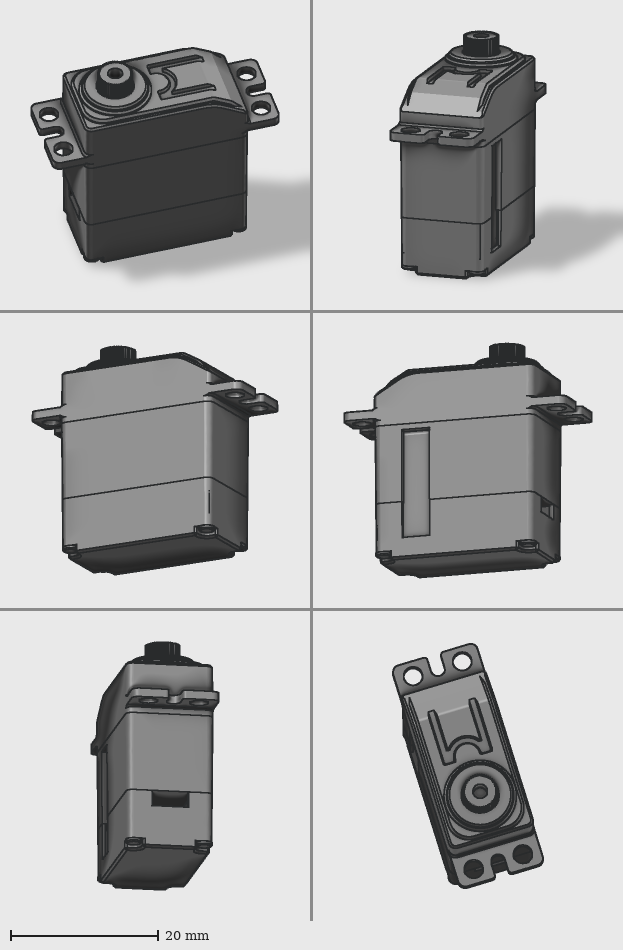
import cadquery as cq
import math


CASE_WIDTH = 12.05
CASE_LENGTH = 23.1
CORNER_RADIUS = 1.0
DRAFT = 0.5
LOWER_SEAM_Z = 7.95
UPPER_SEAM_Z = 18.75

SHOULDER_Z = 26.0
EDGE_BEVEL = 0.3
REAR_RADIUS = 0.55
SHOULDER_BEND_Y = 5.15
SHOULDER_BEND_RADIUS = 5.8
SHOULDER_SLOPE = 30.5

DECK_Z = 26.5
DECK_HALF_WIDTH = 5.35
DECK_FRONT_Y = -11.05
DECK_CORNER_RADIUS = 3.0
DECK_BEVEL = 0.35
DECK_REAR_PROFILE = [(6.85, DECK_Z), (9.35, 25.1), (12.25, 22.1)]
DECK_RIDGE_RADIUS = 0.95

GROOVE_DEPTH = 0.45
GROOVE_WALL_RUN = 0.2
GROOVE_HALF_WIDTH = 3.5
GROOVE_ARM_WIDTH = 1.2
GROOVE_FRONT_Y = -0.15
GROOVE_ARC_Y = 0.2
GROOVE_INNER_RADIUS = 1.7
GROOVE_OUTER_RADIUS = 2.8
GROOVE_CORNER_RADIUS = 0.32

SHAFT_Y = -5.65
BOSS_TOP_Z = 27.5
BOSS_STEPS = [(4.95, 26.7), (4.58, 26.98), (4.45, 26.98), (4.45, 27.2), (4.15, BOSS_TOP_Z)]
SHAFT_HOLE_RADIUS = 2.55

LUG_SPAN = 32.05
LUG_BOTTOM_Z = 19.83
LUG_THICKNESS = 1.2
LUG_TOP_Z = LUG_BOTTOM_Z + LUG_THICKNESS
LUG_HOLE_X = 3.5
LUG_HOLE_Y = 14.0
LUG_HOLE_RADIUS = 1.28
LUG_SLOT_WIDTH = 1.92
LUG_SLOT_DEPTH = 3.05
LUG_SLOT_MOUTH_RADIUS = 0.48

SHAFT_TOP_Z = 29.75
TOOTH_COUNT = 48
TOOTH_TIP_RADIUS = 2.37
TOOTH_ROOT_RADIUS = 2.15
SHAFT_BORE_RADIUS = 1.0
SHAFT_BORE_DEPTH = 2.55

MOTOR_Y = 5.45
MOTOR_RADIUS = 5.67
MOTOR_HALF_FLATS = 5.15
MOTOR_BOTTOM_Z = 2.95
MOTOR_TOP_Z = 17.97
MOTOR_TOP_ROUND = 0.65

SIDE_WINDOW_LENGTH = 3.97
CABLE_WINDOW_WIDTH = 5.03
CABLE_WINDOW_Z = 5.8
FRONT_WALL = 0.55
CHANNEL_HALF_WIDTH = 3.3
WELL_HALF_WIDTH = 5.48

BOTTOM_BEVEL = 0.32
NOTCH_SIZE = 2.1
NOTCH_HEIGHT = 1.2
NOTCH_RADIUS = 1.15
NOTCH_BEVEL = 0.3
SCREW_HEAD_RADIUS = 1.1
SCREW_HEAD_HEIGHT = 0.5
SCREW_HEAD_BEVEL = 0.2
SCREW_OVERHANG = 0.1

DRAFT_INSET = UPPER_SEAM_Z * math.tan(math.radians(DRAFT))
BASE_HALF_WIDTH = CASE_WIDTH / 2 - DRAFT_INSET
BASE_HALF_LENGTH = CASE_LENGTH / 2 - DRAFT_INSET
MARGIN = 0.03


def block(x_range, y_range, z_range):
    """Plain box between the given limits."""
    size = [high - low for low, high in (x_range, y_range, z_range)]
    corner = (x_range[0], y_range[0], z_range[0])
    return cq.Workplane("XY").box(*size, centered=False).translate(corner)


def rounded_outline(width, length, front_radius, rear_radius):
    """Rectangle centred on the origin with its own radius at each end."""
    outline = cq.Sketch().rect(width, length)
    outline = outline.vertices("<Y").fillet(front_radius).reset()
    return outline.vertices(">Y").fillet(rear_radius).reset()


def drafted_prism(outline, base_z, height, taper=DRAFT):
    """Outline raised (or sunk, if height is negative) from base_z with leaning walls."""
    return cq.Workplane("XY", origin=(0, 0, base_z)).placeSketch(outline).extrude(height, taper=taper)


def lower_case():
    """Solid outer shape shared by the middle and bottom cases."""
    outline = rounded_outline(CASE_WIDTH, CASE_LENGTH, CORNER_RADIUS, CORNER_RADIUS)
    return drafted_prism(outline, UPPER_SEAM_Z, -UPPER_SEAM_Z)


def slab(bottom_z, top_z):
    """Everything between two heights."""
    return block((-LUG_SPAN, LUG_SPAN), (-LUG_SPAN, LUG_SPAN), (bottom_z, top_z))


def motor_prism():
    """Round motor can with two flats, before its top edge is rounded."""
    height = MOTOR_TOP_Z - MOTOR_BOTTOM_Z
    can = cq.Workplane("XY", origin=(0, MOTOR_Y, MOTOR_BOTTOM_Z)).circle(MOTOR_RADIUS).extrude(height)
    between_flats = block(
        (-MOTOR_HALF_FLATS, MOTOR_HALF_FLATS), (-LUG_SPAN, LUG_SPAN), (MOTOR_BOTTOM_Z, MOTOR_TOP_Z)
    )
    return can.intersect(between_flats)


def side_window():
    """Opening through the -X wall onto the motor flat."""
    half_length = SIDE_WINDOW_LENGTH / 2
    return block(
        (-CASE_WIDTH, -MOTOR_HALF_FLATS),
        (MOTOR_Y - half_length, MOTOR_Y + half_length),
        (MOTOR_BOTTOM_Z, MOTOR_TOP_Z),
    )


def build_motor():
    return motor_prism().faces(">Z").edges().fillet(MOTOR_TOP_ROUND)


def build_middle_case():
    shell = lower_case().intersect(slab(LOWER_SEAM_Z, UPPER_SEAM_Z))
    return shell.cut(motor_prism()).cut(side_window())


def corner_notch():
    """Screw notch at the -X -Y corner, bevelled where it meets the two walls and the bottom."""
    inner_x = NOTCH_SIZE - BASE_HALF_WIDTH
    inner_y = NOTCH_SIZE - BASE_HALF_LENGTH
    outer_x = inner_x - 2 * NOTCH_SIZE
    outer_y = inner_y - 2 * NOTCH_SIZE
    wall_x = -BASE_HALF_WIDTH
    wall_y = -BASE_HALF_LENGTH
    outline = (
        cq.Workplane("XY", origin=(0, 0, BOTTOM_BEVEL))
        .moveTo(outer_x, outer_y)
        .lineTo(inner_x + NOTCH_BEVEL, outer_y)
        .lineTo(inner_x + NOTCH_BEVEL, wall_y)
        .lineTo(inner_x, wall_y + NOTCH_BEVEL)
        .lineTo(inner_x, inner_y - NOTCH_RADIUS)
        .radiusArc((inner_x - NOTCH_RADIUS, inner_y), -NOTCH_RADIUS)
        .lineTo(wall_x + NOTCH_BEVEL, inner_y)
        .lineTo(wall_x, inner_y + NOTCH_BEVEL)
        .lineTo(outer_x, inner_y + NOTCH_BEVEL)
        .close()
    )
    pocket = outline.extrude(NOTCH_HEIGHT - BOTTOM_BEVEL)
    flare = pocket.faces("<Z").wires().toPending().extrude(-BOTTOM_BEVEL, combine=False, taper=-45)
    return pocket.union(flare)


def build_bottom_case():
    case = lower_case().intersect(slab(0, LOWER_SEAM_Z))
    case = case.faces("<Z").edges().chamfer(BOTTOM_BEVEL)
    notch = corner_notch()
    for mirrored in (notch, notch.mirror("YZ")):
        case = case.cut(mirrored).cut(mirrored.mirror("XZ"))

    motor_well = block(
        (-WELL_HALF_WIDTH, WELL_HALF_WIDTH),
        (MOTOR_Y - MOTOR_RADIUS, MOTOR_Y + MOTOR_RADIUS),
        (MOTOR_BOTTOM_Z, LOWER_SEAM_Z),
    )
    cable_channel = block(
        (-CHANNEL_HALF_WIDTH, CHANNEL_HALF_WIDTH),
        (FRONT_WALL - BASE_HALF_LENGTH, MOTOR_Y),
        (MOTOR_BOTTOM_Z, LOWER_SEAM_Z),
    )
    cable_window = block(
        (-CABLE_WINDOW_WIDTH / 2, CABLE_WINDOW_WIDTH / 2),
        (-CASE_LENGTH, 0),
        (CABLE_WINDOW_Z, LOWER_SEAM_Z),
    )
    return case.cut(motor_well).cut(cable_channel).cut(cable_window).cut(side_window())


def build_screw(x_side, y_side):
    """Screw head hanging in one corner notch."""
    inset = SCREW_HEAD_RADIUS - SCREW_OVERHANG
    centre = (
        x_side * (BASE_HALF_WIDTH - inset),
        y_side * (BASE_HALF_LENGTH - inset),
        NOTCH_HEIGHT - SCREW_HEAD_HEIGHT,
    )
    head = cq.Workplane("XY", origin=centre).circle(SCREW_HEAD_RADIUS).extrude(SCREW_HEAD_HEIGHT)
    return head.faces("<Z").edges().chamfer(SCREW_HEAD_BEVEL)


def drafted_sides():
    """Space between the two long drafted side walls of the top case."""
    outline = cq.Sketch().rect(CASE_WIDTH, 2 * LUG_SPAN)
    return drafted_prism(outline, UPPER_SEAM_Z, SHOULDER_Z - UPPER_SEAM_Z)


def mounting_lugs():
    """Plate carrying both lugs, with its screw holes and open slots."""
    half_span = LUG_SPAN / 2
    plate = drafted_sides().intersect(
        block((-CASE_WIDTH, CASE_WIDTH), (-half_span, half_span), (LUG_BOTTOM_Z, LUG_TOP_Z))
    )
    plate = plate.faces("<Y or >Y").edges("not #Z").fillet(CORNER_RADIUS)
    hole_centres = [(x, y) for x in (-LUG_HOLE_X, LUG_HOLE_X) for y in (-LUG_HOLE_Y, LUG_HOLE_Y)]
    plate = plate.faces(">Z").workplane(origin=(0, 0, LUG_TOP_Z)).pushPoints(hole_centres)
    plate = plate.hole(2 * LUG_HOLE_RADIUS)
    slots = (
        cq.Workplane("XY", origin=(0, 0, LUG_BOTTOM_Z))
        .pushPoints([(0, -LUG_SPAN / 2), (0, LUG_SPAN / 2)])
        .slot2D(2 * LUG_SLOT_DEPTH, LUG_SLOT_WIDTH, angle=90)
        .extrude(LUG_THICKNESS)
    )
    plate = plate.cut(slots)
    half_slot = LUG_SLOT_WIDTH / 2 + MARGIN
    for y in (-half_span, half_span):
        mouth = cq.selectors.BoxSelector(
            (-half_slot, y - MARGIN, LUG_BOTTOM_Z), (half_slot, y + MARGIN, LUG_TOP_Z)
        )
        plate = plate.edges("|Z").edges(mouth).fillet(LUG_SLOT_MOUTH_RADIUS)
    return plate


def lug_root(direction):
    """Bevelled skirt where the case walls meet the lugs: direction is 1 above, -1 below."""
    rear_radius = REAR_RADIUS if direction > 0 else CORNER_RADIUS
    outline = rounded_outline(
        CASE_WIDTH + 2 * EDGE_BEVEL,
        CASE_LENGTH + 2 * EDGE_BEVEL,
        CORNER_RADIUS + EDGE_BEVEL,
        rear_radius + EDGE_BEVEL,
    )
    base_z = LUG_TOP_Z if direction > 0 else LUG_BOTTOM_Z
    return drafted_prism(outline, base_z, direction * EDGE_BEVEL, taper=45)


def upper_outline():
    """Case outline above the lugs, with tighter rear corners."""
    return rounded_outline(CASE_WIDTH, CASE_LENGTH, CORNER_RADIUS, REAR_RADIUS)


def deck_profile():
    """Space under the deck and its two rear slopes, seen along X."""
    rear_y = DECK_REAR_PROFILE[-1][0]
    ridge_y, ridge_z = DECK_REAR_PROFILE[0]
    profile = (
        cq.Workplane("YZ", origin=(-CASE_WIDTH, 0, 0))
        .moveTo(-CASE_LENGTH, UPPER_SEAM_Z)
        .lineTo(-CASE_LENGTH, DECK_Z)
        .polyline(DECK_REAR_PROFILE, includeCurrent=True)
        .lineTo(rear_y, UPPER_SEAM_Z)
        .close()
        .extrude(2 * CASE_WIDTH)
    )
    ridge = cq.selectors.NearestToPointSelector((0, ridge_y, ridge_z))
    return profile.edges(ridge).fillet(DECK_RIDGE_RADIUS)


def shoulder_profile():
    """Space under the rim, which curves and slopes down toward the rear."""
    slope = math.radians(SHOULDER_SLOPE)
    arc_end_y = SHOULDER_BEND_Y + SHOULDER_BEND_RADIUS * math.sin(slope)
    arc_end_z = SHOULDER_Z - SHOULDER_BEND_RADIUS * (1 - math.cos(slope))
    rear_y = CASE_LENGTH / 2
    rear_z = arc_end_z - (rear_y - arc_end_y) * math.tan(slope)
    return (
        cq.Workplane("YZ", origin=(-CASE_WIDTH, 0, 0))
        .moveTo(-CASE_LENGTH, UPPER_SEAM_Z)
        .lineTo(-CASE_LENGTH, SHOULDER_Z)
        .lineTo(SHOULDER_BEND_Y, SHOULDER_Z)
        .radiusArc((arc_end_y, arc_end_z), SHOULDER_BEND_RADIUS)
        .lineTo(rear_y, rear_z)
        .lineTo(rear_y, UPPER_SEAM_Z)
        .close()
        .extrude(2 * CASE_WIDTH)
    )


def bevel_top_rim(body, bevel):
    """Bevel the top edges along the sides and front, not the ones that run across the middle."""
    upper_edges = cq.selectors.BoxSelector(
        (-CASE_WIDTH, -CASE_LENGTH, LUG_TOP_Z + LUG_THICKNESS), (CASE_WIDTH, CASE_LENGTH, DECK_Z + MARGIN)
    )
    crossing_edges = cq.selectors.BoxSelector(
        (-CORNER_RADIUS, DECK_FRONT_Y + CORNER_RADIUS, LUG_TOP_Z),
        (CORNER_RADIUS, CASE_LENGTH, DECK_Z + MARGIN),
    )
    return body.edges(upper_edges - crossing_edges).chamfer(bevel)


def shoulder():
    """Upper case up to its bevelled rim."""
    upper = drafted_prism(upper_outline(), UPPER_SEAM_Z, SHOULDER_Z - UPPER_SEAM_Z)
    upper = bevel_top_rim(upper.intersect(shoulder_profile()), EDGE_BEVEL)
    return upper.intersect(deck_profile())


def deck():
    """Raised deck on the shoulder, bevelled at its sides and front."""
    rear_y = CASE_LENGTH / 2
    length = rear_y - DECK_FRONT_Y
    outline = cq.Sketch().rect(2 * DECK_HALF_WIDTH, length).vertices("<Y").fillet(DECK_CORNER_RADIUS)
    plan = (
        cq.Workplane("XY", origin=(0, DECK_FRONT_Y + length / 2, UPPER_SEAM_Z))
        .placeSketch(outline.reset())
        .extrude(DECK_Z - UPPER_SEAM_Z)
    )
    raised = bevel_top_rim(plan.intersect(deck_profile()), DECK_BEVEL)
    return raised.intersect(drafted_prism(upper_outline(), UPPER_SEAM_Z, DECK_Z - UPPER_SEAM_Z))


def deck_groove():
    """H-shaped groove: two arms running off the rear slope, joined by a curved bridge."""
    rear_y = DECK_REAR_PROFILE[1][0]
    lean = math.degrees(math.atan2(GROOVE_WALL_RUN, GROOVE_DEPTH))
    deck_plane = cq.Workplane("XY", origin=(0, 0, DECK_Z))
    arc_plane = cq.Workplane("XY", origin=(0, GROOVE_ARC_Y, DECK_Z))

    bay_half_width = math.sqrt(GROOVE_INNER_RADIUS ** 2 - (GROOVE_ARC_Y - GROOVE_FRONT_Y) ** 2)
    groove = (
        deck_plane.moveTo(-GROOVE_HALF_WIDTH, rear_y)
        .lineTo(-GROOVE_HALF_WIDTH, GROOVE_FRONT_Y)
        .lineTo(-bay_half_width, GROOVE_FRONT_Y)
        .threePointArc((0, GROOVE_ARC_Y + GROOVE_INNER_RADIUS), (bay_half_width, GROOVE_FRONT_Y))
        .lineTo(GROOVE_HALF_WIDTH, GROOVE_FRONT_Y)
        .lineTo(GROOVE_HALF_WIDTH, rear_y)
        .close()
        .extrude(-GROOVE_DEPTH, taper=lean)
    )
    front_corners = cq.selectors.BoxSelector(
        (-GROOVE_HALF_WIDTH, GROOVE_FRONT_Y, DECK_Z - GROOVE_DEPTH + MARGIN),
        (GROOVE_HALF_WIDTH, GROOVE_FRONT_Y + GROOVE_WALL_RUN, DECK_Z - MARGIN),
    )
    groove = groove.edges(front_corners).fillet(GROOVE_CORNER_RADIUS)

    island_half_width = GROOVE_HALF_WIDTH - GROOVE_ARM_WIDTH
    island_front_y = GROOVE_ARC_Y + math.sqrt(GROOVE_OUTER_RADIUS ** 2 - island_half_width ** 2)
    island = arc_plane.rect(2 * island_half_width, 2 * rear_y).extrude(-GROOVE_DEPTH, taper=-lean)
    bridge = arc_plane.circle(GROOVE_OUTER_RADIUS).extrude(-GROOVE_DEPTH, taper=lean)
    in_front = block((-CASE_WIDTH, CASE_WIDTH), (-CASE_LENGTH, island_front_y), (LUG_TOP_Z, DECK_Z))
    return groove.cut(island.cut(bridge).cut(in_front))


def shaft_boss():
    """Stepped round boss under the output shaft."""
    profile = [(0, SHOULDER_Z), (BOSS_STEPS[0][0], SHOULDER_Z), *BOSS_STEPS, (0, BOSS_TOP_Z)]
    boss = cq.Workplane("XZ").polyline(profile).close().revolve(360, (0, 0), (0, 1))
    return boss.translate((0, SHAFT_Y, 0))


def build_top_case():
    collar_outline = rounded_outline(CASE_WIDTH, CASE_LENGTH, CORNER_RADIUS, CORNER_RADIUS)
    collar = drafted_prism(collar_outline, UPPER_SEAM_Z, LUG_BOTTOM_Z - UPPER_SEAM_Z)
    upper = shoulder().union(deck()).intersect(slab(LUG_BOTTOM_Z, DECK_Z))
    lugs = mounting_lugs().union(lug_root(1)).union(lug_root(-1)).intersect(drafted_sides())
    case = collar.union(upper).union(lugs).cut(deck_groove()).union(shaft_boss())
    shaft_hole = cq.Workplane("XY", origin=(0, SHAFT_Y, DECK_Z)).circle(SHAFT_HOLE_RADIUS)
    return case.cut(shaft_hole.extrude(BOSS_TOP_Z - DECK_Z))


def build_output_shaft():
    """Toothed shaft standing on the floor of the boss hole, with a blind bore."""
    points = []
    for i in range(2 * TOOTH_COUNT):
        radius = TOOTH_TIP_RADIUS if i % 2 == 0 else TOOTH_ROOT_RADIUS
        angle = math.pi * i / TOOTH_COUNT
        points.append((radius * math.cos(angle), radius * math.sin(angle)))
    shaft = cq.Workplane("XY", origin=(0, SHAFT_Y, DECK_Z)).polyline(points).close()
    shaft = shaft.extrude(SHAFT_TOP_Z - DECK_Z)
    bore = cq.Workplane("XY", origin=(0, SHAFT_Y, SHAFT_TOP_Z)).circle(SHAFT_BORE_RADIUS)
    return shaft.cut(bore.extrude(-SHAFT_BORE_DEPTH))


top_case = build_top_case()
middle_case = build_middle_case()
bottom_case = build_bottom_case()
motor = build_motor()
output_shaft = build_output_shaft()
screws = [build_screw(x_side, y_side) for x_side in (-1, 1) for y_side in (-1, 1)]

result = cq.Compound.makeCompound(
    [
        top_case.val(),
        middle_case.val(),
        bottom_case.val(),
        motor.val(),
        output_shaft.val(),
        *[screw.val() for screw in screws],
    ]
)